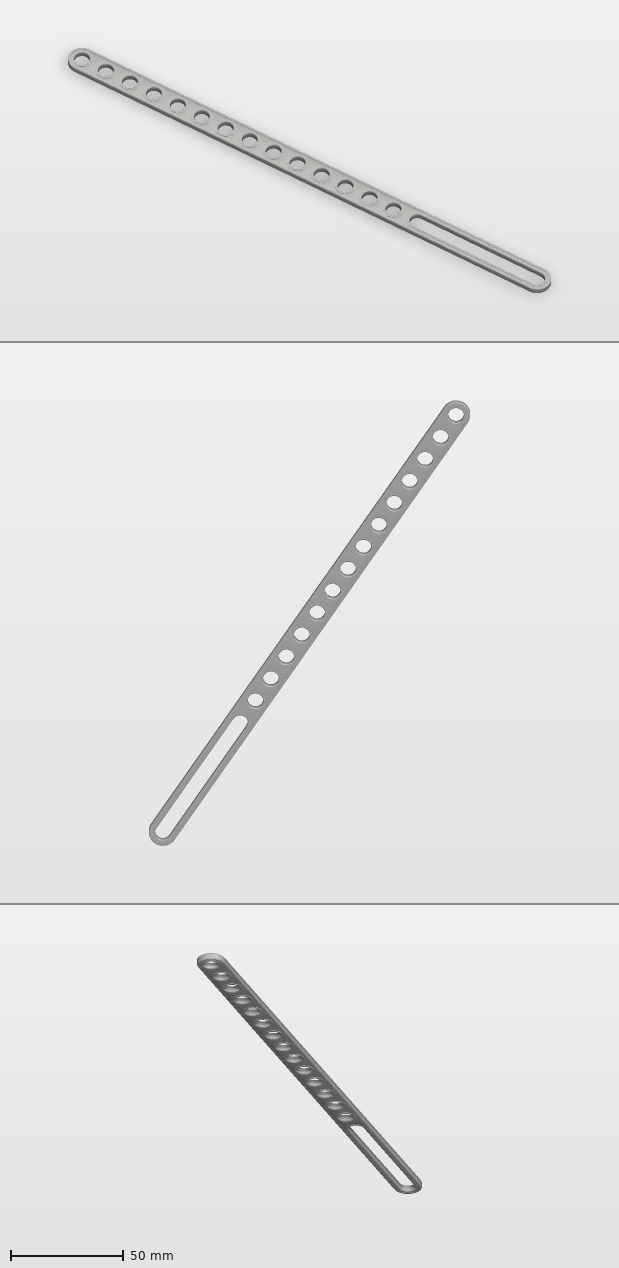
import cadquery as cq

length = 250.0
width = 12.5
hole_diameter = 7.0
ring_diameter = 9.2
hole_count = 14
edge_chamfer = 0.3
recess_depth = 0.2

pitch = width
thickness = width / 4
rim_width = (ring_diameter - hole_diameter) / 2
recess_width = width - 2 * rim_width

end_centre_x = (length - width) / 2
hole_xs = [-end_centre_x + i * pitch for i in range(hole_count)]
slot_start_x = hole_xs[-1] + pitch
slot_end_x = end_centre_x


def rounded_bar(start_x, end_x, diameter, height):
    """Bar with round ends centred at start_x and end_x, centred on Z = 0."""
    overall_length = end_x - start_x + diameter
    return (
        cq.Workplane("XY")
        .center((start_x + end_x) / 2, 0)
        .slot2D(overall_length, diameter)
        .extrude(height / 2, both=True)
    )


def opening_solids(diameter, height):
    """Cylinders at the holes and a long round-ended bar at the slot, all of one diameter."""
    cylinders = (
        cq.Workplane("XY")
        .pushPoints([(x, 0) for x in hole_xs])
        .circle(diameter / 2)
        .extrude(height / 2, both=True)
    )
    return cylinders.union(rounded_bar(slot_start_x, slot_end_x, diameter, height))


def chamfered_bar():
    """Round-ended bar with its holes and slot, every rim on both faces chamfered."""
    blank = rounded_bar(-end_centre_x, end_centre_x, width, thickness)
    bar = blank.cut(opening_solids(hole_diameter, thickness))
    return bar.faces("|Z").edges().chamfer(edge_chamfer)


def face_recess():
    """Recess inside the outer rim that leaves a raised ring around each hole and the slot."""
    inside_rim = rounded_bar(-end_centre_x, end_centre_x, recess_width, recess_depth)
    return inside_rim.cut(opening_solids(ring_diameter, recess_depth))


recess = face_recess()
recess_centre_z = (thickness - recess_depth) / 2

result = chamfered_bar()
for side in (1, -1):
    result = result.cut(recess.translate((0, 0, side * recess_centre_z)))